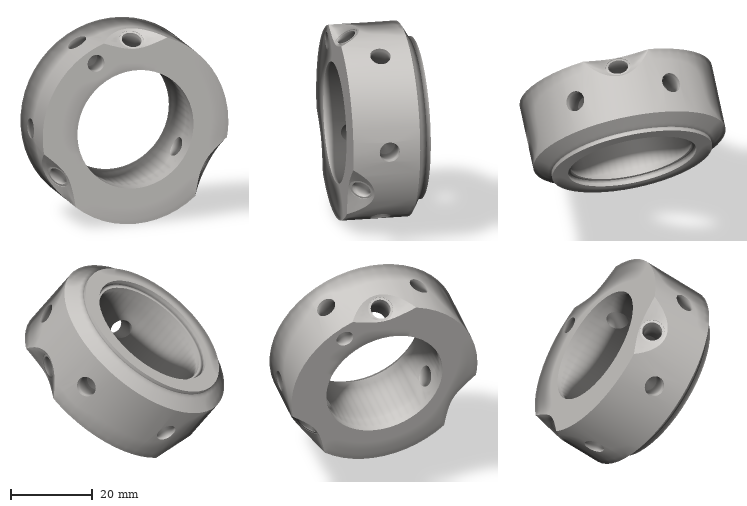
import cadquery as cq
import math

outer_diameter = 48
ring_length = 20.0
nose_diameter = 40.0
nose_length = 1.0
bevel_end = 3.4
bore_diameter = 30.0
recess_diameter = 32.0
recess_depth = 1.5

spanner_count = 6
spanner_diameter = 5.0
spanner_x = 11.0
spanner_depth = 6.0

axial_diameter = 4.3
axial_depth = 5.5
axial_radial_position = 20.4

drill_point_angle = 118

seat_count = 3
seat_tilt = 30
seat_x = 17.15
seat_height = 21.95
spotface_diameter = 6.1
spotface_depth = 0.1
seat_flare_angle = 19
seat_cutter_radius = 19.2
screw_diameter = 4.9

outer_radius = outer_diameter / 2
bore_radius = bore_diameter / 2
clearance = 4.8


def ring_body():
    profile = [
        (0, recess_diameter / 2),
        (0, nose_diameter / 2),
        (nose_length, nose_diameter / 2),
        (bevel_end, outer_radius),
        (ring_length, outer_radius),
        (ring_length, bore_radius),
        (recess_depth, bore_radius),
        (recess_depth, recess_diameter / 2),
    ]
    return cq.Workplane("XY").polyline(profile).close().revolve(360, (0, 0, 0), (1, 0, 0))


def around_axis(shape, count, first_angle):
    """Copies of a shape built at the top (+Z), spread evenly about the X axis."""
    step = 360 / count
    return [shape.rotate((0, 0, 0), (1, 0, 0), first_angle + i * step) for i in range(count)]


def drilled_hole(diameter, floor, mouth):
    """Upright blind hole on the Z axis, with a conical tip below its floor height."""
    radius = diameter / 2
    tip = floor - radius / math.tan(math.radians(drill_point_angle / 2))
    half_section = [
        (0, tip),
        (radius, floor),
        (radius, mouth + clearance),
        (0, mouth + clearance),
    ]
    return cq.Workplane("XZ").polyline(half_section).close().revolve(360, (0, 0, 0), (0, 1, 0))


def spanner_hole():
    hole = drilled_hole(spanner_diameter, outer_radius - spanner_depth, outer_radius)
    return hole.translate((spanner_x, 0, 0))


def axial_hole():
    hole = drilled_hole(axial_diameter, ring_length - axial_depth, ring_length)
    hole = hole.rotate((0, 0, 0), (0, 1, 0), 90)
    return hole.translate((0, 0, axial_radial_position))


def seat_with_screw_hole():
    """Shallow cone around a spotface, joined to the screw hole that runs into the bore."""
    spotface_radius = spotface_diameter / 2
    screw_radius = screw_diameter / 2
    flare_rise = (seat_cutter_radius - spotface_radius) * math.tan(math.radians(seat_flare_angle))
    hole_length = outer_radius - bore_radius + clearance
    half_section = [
        (0, -hole_length),
        (screw_radius, -hole_length),
        (screw_radius, 0),
        (spotface_radius, 0),
        (spotface_radius, spotface_depth),
        (seat_cutter_radius, flare_rise + spotface_depth),
        (0, flare_rise + spotface_depth),
    ]
    cutter = cq.Workplane("XZ").polyline(half_section).close().revolve(360, (0, 0, 0), (0, 1, 0))
    return cutter.rotate((0, 0, 0), (0, 1, 0), seat_tilt).translate((seat_x, 0, seat_height))


first_spanner_angle = 180 / spanner_count
cutters = around_axis(spanner_hole(), spanner_count, first_spanner_angle)
cutters += around_axis(seat_with_screw_hole(), seat_count, 0)
cutters += around_axis(axial_hole(), 1, first_spanner_angle)

result = ring_body()
for cutter in cutters:
    result = result.cut(cutter)